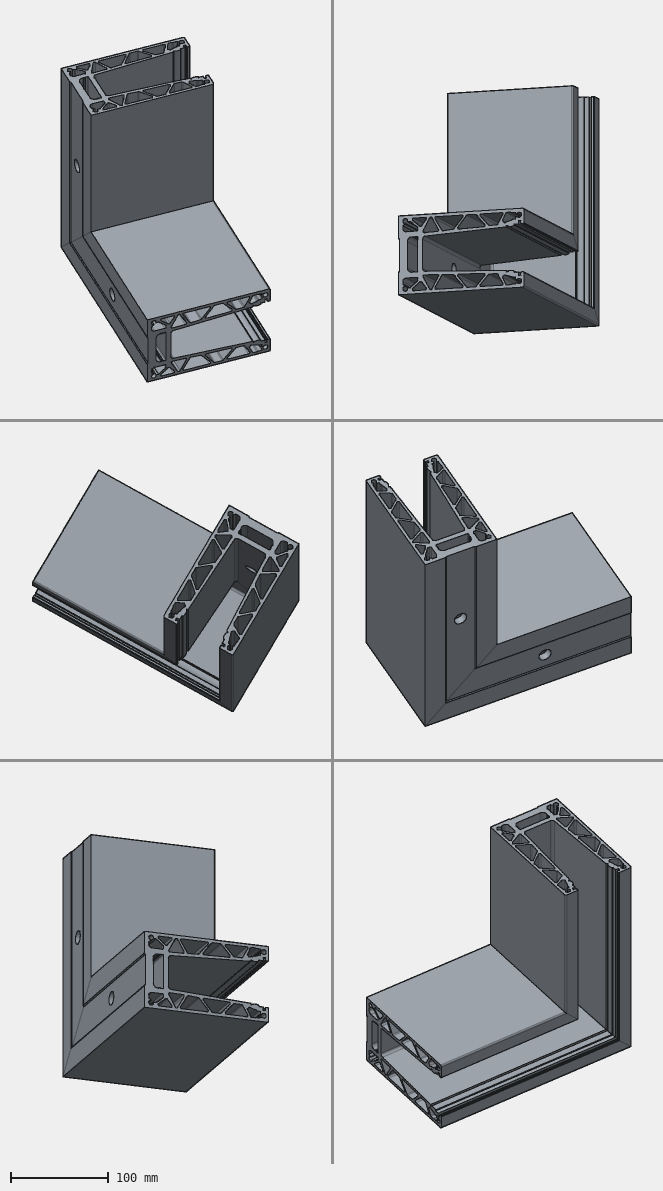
import cadquery as cq

LEG_LENGTH = 236.2
LEG_WIDTH = 82.2
LEG_DEPTH = 136.0
CENTRE = LEG_WIDTH / 2

WALL = 3.3
PORT_WALL = 3.8
OUTER_ROUND = 1.7
LIP_CHAMFER = 0.7

RECESS_EDGE = 23.4
RECESS_DEPTH = 1.0
RECESS_SLOPE = 1.5

LIP_X = 16.0
SLOT_X = 12.5
SLOT_TOP = 132.5
SLOT_BOTTOM = 130.1
SLOT_CHAMFER = 0.7
SHOULDER_Y = 125.5
BEAD_EDGE_X = 17.2
BEAD_CREST_X = 18.2
BEAD_END_Y = 117.5
NOTCH = (16.8, 117.1)
TAPER_TOP = (18.5, 116.5)
CHANNEL_FLOOR_X = 23.0
CHANNEL_FLOOR_Y = 26.2
CHANNEL_FLOOR_ROUND = 3.0

CHAMBER_X = 22.7
CHAMBER_BOTTOM = 9.7
CHAMBER_TOP = 20.8
CHAMBER_TOP_ROUND = 0.7
CHAMBER_BOTTOM_ROUND = 4.7
RIB_HEIGHT = 0.5
RIB_CENTRE_Y = 16.8
RIB_HALF_BASE = 1.2
RIB_HALF_TIP = 0.7

REAR_PORT = (6.5, 130.5)
REAR_PORT_RADIUS = 2.5
REAR_NECK_WIDTH = 3.3
REAR_POCKET_TOP = 126.8
FRONT_PORT = (6.0, 7.3)
FRONT_PORT_RADIUS = 2.5
FRONT_POCKET_ROUND = 3.5

HOLE_DIAMETER = 14.0
HOLE_DISTANCE = 138.0

STRUT_ROUND = 1.5
POCKET_ROUND = 0.5

STRUT_POCKETS = [
    [(WALL, 114.3), (15.8, 107.0), (15.8, 98.0), (WALL, 86.7)],
    [(16.8, 95.5), (17.7, 62.5), (WALL, 74.2), (WALL, 83.5)],
    [(WALL, 71.5), (17.5, 59.5), (18.5, 47.5), (WALL, 38.3)],
    [(18.7, 44.5), (19.1, 25.5), (2.0, 35.0)],
    [(WALL, 31.6), (13.0, 24.0), (WALL, 12.5)],
]
REAR_POCKET = [
    (PORT_WALL, REAR_POCKET_TOP), (10.9, REAR_POCKET_TOP), (10.9, 123.3), (11.8, 122.5),
    (12.0, 121.2), (14.0, 114.8), (11.5, 112.7), (WALL, 116.7), (WALL, 121.2), (PORT_WALL, 122.5),
]
FRONT_POCKET = [
    (13.2, 20.8), (17.0, 20.8), (17.0, 4.7),
    (10.9, 4.7), (9.2, 6.5), (6.5, 10.0), (6.5, 12.5),
]


def mirror_points(points):
    """Reflect section points across the centre line, keeping the outline in order."""
    return [(LEG_WIDTH - x, y) for x, y in reversed(points)]


def prism(points):
    return cq.Workplane("XY").polyline(points).close().extrude(LEG_LENGTH)


def bar(centre, radius):
    return cq.Workplane("XY").center(*centre).circle(radius).extrude(LEG_LENGTH)


def outer_block():
    """Full section with rounded back corners and the shallow front recess."""
    block = cq.Workplane("XY").rect(LEG_WIDTH, LEG_DEPTH, centered=False).extrude(LEG_LENGTH)
    block = block.edges("|Z and >Y").fillet(OUTER_ROUND)
    recess = [(RECESS_EDGE, 0), (RECESS_EDGE + RECESS_SLOPE, RECESS_DEPTH)]
    return block.cut(prism(recess + mirror_points(recess)))


def channel():
    """Open channel: lips with slots, a rounded bead ending in a notch, then tapering walls."""
    bead_middle = (SHOULDER_Y + BEAD_END_Y) / 2
    mirrored_x = LEG_WIDTH - BEAD_EDGE_X
    side = [
        (LIP_X - LIP_CHAMFER, LEG_DEPTH),
        (LIP_X, LEG_DEPTH - LIP_CHAMFER),
        (LIP_X, SLOT_TOP + SLOT_CHAMFER),
        (LIP_X - SLOT_CHAMFER, SLOT_TOP),
        (SLOT_X, SLOT_TOP),
        (SLOT_X, SLOT_BOTTOM),
        (LIP_X, SLOT_BOTTOM),
        (LIP_X, SHOULDER_Y),
        (BEAD_EDGE_X, SHOULDER_Y),
    ]
    lower = [NOTCH, TAPER_TOP, (CHANNEL_FLOOR_X, CHANNEL_FLOOR_Y)]
    outline = cq.Workplane("XY").polyline(side)
    outline = outline.threePointArc((BEAD_CREST_X, bead_middle), (BEAD_EDGE_X, BEAD_END_Y))
    for point in lower + mirror_points(lower) + [(mirrored_x, BEAD_END_Y)]:
        outline = outline.lineTo(*point)
    outline = outline.threePointArc((LEG_WIDTH - BEAD_CREST_X, bead_middle), (mirrored_x, SHOULDER_Y))
    for point in mirror_points(side)[1:]:
        outline = outline.lineTo(*point)
    return outline.close().extrude(LEG_LENGTH).edges("|Z and <Y").fillet(CHANNEL_FLOOR_ROUND)


def web_chamber():
    """Closed chamber with a low rib on each end wall."""
    rib_x = CHAMBER_X + RIB_HEIGHT
    side = [
        (CHAMBER_X, CHAMBER_TOP),
        (CHAMBER_X, RIB_CENTRE_Y + RIB_HALF_BASE),
        (rib_x, RIB_CENTRE_Y + RIB_HALF_TIP),
        (rib_x, RIB_CENTRE_Y - RIB_HALF_TIP),
        (CHAMBER_X, RIB_CENTRE_Y - RIB_HALF_BASE),
        (CHAMBER_X, CHAMBER_BOTTOM),
    ]
    chamber = prism(side + mirror_points(side))
    chamber = chamber.edges("|Z and >Y").fillet(CHAMBER_TOP_ROUND)
    return chamber.edges("|Z and <Y").fillet(CHAMBER_BOTTOM_ROUND)


def rear_port():
    """Screw port joined by a narrow neck to the rearmost wall pocket."""
    port_x, port_y = REAR_PORT
    pocket = prism(REAR_POCKET).edges("|Z").fillet(POCKET_ROUND)
    neck_length = port_y - REAR_POCKET_TOP + POCKET_ROUND
    neck = (
        cq.Workplane("XY")
        .center(port_x, port_y - neck_length / 2)
        .rect(REAR_NECK_WIDTH, neck_length)
        .extrude(LEG_LENGTH)
    )
    return pocket.union(neck).union(bar(REAR_PORT, REAR_PORT_RADIUS))


def front_port():
    """Screw port opening sideways into the frontmost wall pocket."""
    pocket = prism(FRONT_POCKET)
    pocket = pocket.edges("|Z and >X").edges("<Y").fillet(FRONT_POCKET_ROUND)
    pocket = pocket.edges("|Z and >Y").fillet(STRUT_ROUND)
    return pocket.union(bar(FRONT_PORT, FRONT_PORT_RADIUS))


def vertical_leg():
    leg = outer_block().cut(channel()).cut(web_chamber())
    hollows = [prism(points).edges("|Z").fillet(STRUT_ROUND) for points in STRUT_POCKETS]
    hollows += [rear_port(), front_port()]
    for hollow in hollows:
        leg = leg.cut(hollow)
        leg = leg.cut(hollow.mirror("YZ", (CENTRE, 0, 0)))

    hole = (
        cq.Workplane("XZ")
        .center(CENTRE, HOLE_DISTANCE)
        .circle(HOLE_DIAMETER / 2)
        .extrude(-(CHANNEL_FLOOR_Y + CHANNEL_FLOOR_ROUND))
    )
    leg = leg.cut(hole)

    mitre = (
        cq.Workplane("XZ")
        .polyline([(0, 0), (LEG_LENGTH, LEG_LENGTH), (0, LEG_LENGTH)])
        .close()
        .extrude(-LEG_DEPTH)
    )
    return leg.intersect(mitre)


upright = vertical_leg()
result = upright.union(upright.mirror((1, 0, -1)), clean=False)